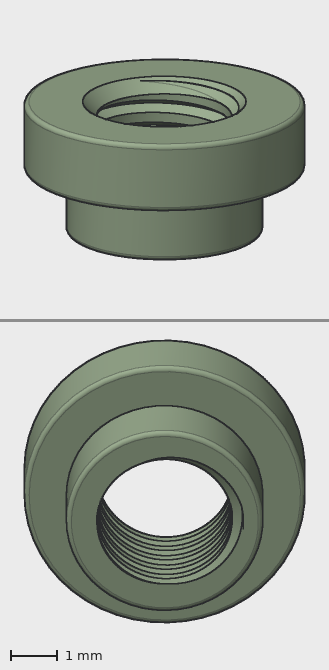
import cadquery as cq
import math

flange_diameter = 6.0
flange_height = 1.5
shank_diameter = 4.2
total_height = 2.9
edge_radius = 0.1
shank_height = total_height - flange_height

bore_radius = 1.445
lead_in_radius = 1.745
lead_in_half_angle = math.radians(45)

thread_pitch = 0.5
groove_width = 0.275
flank_angle = math.radians(30)
first_groove_height = 0.12
groove_overlap = 0.03


def make_body():
    shank = cq.Workplane("XY").circle(shank_diameter / 2).extrude(shank_height)
    shank = shank.faces("<Z").edges().fillet(edge_radius)
    flange = cq.Workplane("XY").workplane(offset=shank_height)
    flange = flange.circle(flange_diameter / 2).extrude(flange_height)
    flange = flange.edges().fillet(edge_radius)
    return shank.union(flange)


def make_lead_in():
    """Cone narrowing downward from the top face to its tip on the axis."""
    cone_height = lead_in_radius / math.tan(lead_in_half_angle)
    tip_height = total_height - cone_height
    cone = (
        cq.Workplane("XZ")
        .moveTo(0, tip_height)
        .lineTo(lead_in_radius, total_height)
        .lineTo(0, total_height)
        .close()
    )
    return cone.revolve(360, (0, 0, 0), (0, 1, 0))


def make_bore():
    return cq.Workplane("XY").circle(bore_radius).extrude(total_height)


def make_thread_cutter():
    """Triangular groove swept along a helix that runs past both ends."""
    start = first_groove_height - thread_pitch
    turns = math.ceil((total_height - start) / thread_pitch)
    groove_depth = groove_width / 2 / math.tan(flank_angle)
    half_base = groove_width / 2 + groove_overlap * math.tan(flank_angle)
    inner_radius = bore_radius - groove_overlap
    path = cq.Wire.makeHelix(thread_pitch, turns * thread_pitch, bore_radius)
    cutter = (
        cq.Workplane("XZ")
        .moveTo(inner_radius, -half_base)
        .lineTo(bore_radius + groove_depth, 0)
        .lineTo(inner_radius, half_base)
        .close()
        .sweep(cq.Workplane(path), isFrenet=True)
    )
    return cutter.translate((0, 0, start))


result = make_body().cut(make_lead_in()).cut(make_thread_cutter()).cut(make_bore())